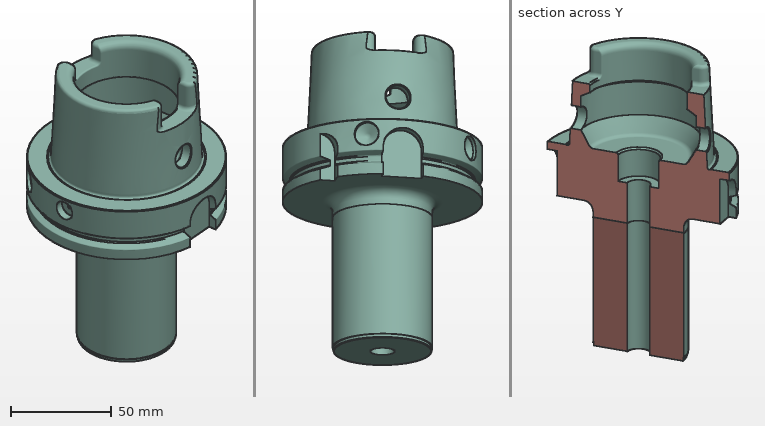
import cadquery as cq
import math


total_length = 156.9
flange_radius = 100.0 / 2
flange_thickness = 28.9
flange_top_chamfer = 0.5

taper_height = 50.2
taper_base_height = 2.0
taper_base_radius = 37.8
taper_slope = 1 / 20
rim_outer_round = 1.9

face_groove_outer = 39.9
face_groove_depth = 0.3
face_groove_fillet = 1.3

groove_center_z = -19.8
groove_mouth_half = 3.3
groove_root_half = 1.5
groove_root_radius = 46.1
groove_mouth_round = 0.6
groove_root_round = 0.8

shank_radius = 50.0 / 2
collar_bottom_z = -37.2
collar_fillet = 5.0
shank_tip_length = 1.9
shank_tip_step = 0.5
shank_tip_chamfer = 0.3

bore_radius = 26.5
bore_mouth_round = 3.6
bore_end_z = 30.3
chamber_radius = 31.5
chamber_end_z = 9.5
chamber_floor_radius = 24.6
clamping_angle = 30.0
chamber_floor_slope = 60.0
chamber_floor_round = 2.7

thread_radius = 11.0
thread_chamfer = 1.0
thread_end_z = -15.0
passage_radius = 6.1

drive_slot_half_width = 10.0
drive_slot_corner = 3.8
drive_slot_shoulder = 32.3
drive_slot_floor_round = 2.0
drive_slot_edge_round = 0.8
left_slot_depth = 10.4
right_slot_depth = 15.2

cross_hole_radius = 6.1
cross_hole_z = 15.4
cross_hole_chamfer = 0.5

keyway_half_width = 10.2
keyway_top_z = -4.5
keyway_floor = 44.7

notch_radius = 9.1
notch_edge_y = 31.4
notch_floor = 31.5

gripper_hole_angles = (158.5, 230.0)
gripper_hole_radius = 6.1
gripper_hole_z = -7.7
gripper_hole_depth = 2.0
drill_point_angle = 118.0

chip_pocket_radius = 5.0
chip_pocket_z = -6.7
chip_pocket_depth = 4.5
chip_center_radius = 0.6
chip_center_chamfer = 0.6
chip_center_depth = 2.0

flange_bottom_z = -flange_thickness
shank_bottom_z = taper_height - total_length
rim_radius = taper_base_radius - taper_slope * (taper_height - taper_base_height)
clamping_cone_end_z = bore_end_z - (chamber_radius - bore_radius) * math.tan(math.radians(clamping_angle))
chamber_corner_radius = chamber_floor_radius + chamber_floor_round * math.tan(
    math.radians(chamber_floor_slope / 2)
)
chamber_floor_z = chamber_end_z - (chamber_radius - chamber_corner_radius) * math.tan(
    math.radians(chamber_floor_slope)
)
outside = flange_radius + 1.5
band_margin = 0.2


def turned(cutter, angle):
    """Cutter made on the +X side, turned about the tool axis."""
    return cutter.rotate((0, 0, 0), (0, 0, 1), angle)


def level_band(bottom_z, top_z):
    """Selector for what lies between two heights."""
    return cq.selectors.BoxSelector((-outside, -outside, bottom_z), (outside, outside, top_z))


def make_blank():
    """Outside of the holder as one turned body."""
    profile = (
        cq.Workplane("XZ")
        .moveTo(0, taper_height)
        .lineTo(rim_radius, taper_height)
        .lineTo(taper_base_radius, taper_base_height)
        .lineTo(taper_base_radius, face_groove_fillet - face_groove_depth)
        .radiusArc((taper_base_radius + face_groove_fillet, -face_groove_depth), -face_groove_fillet)
        .lineTo(face_groove_outer, 0)
        .lineTo(flange_radius - flange_top_chamfer, 0)
        .lineTo(flange_radius, -flange_top_chamfer)
        .lineTo(flange_radius, flange_bottom_z)
        .lineTo(shank_radius + collar_fillet, flange_bottom_z)
        .radiusArc((shank_radius, flange_bottom_z - collar_fillet), -collar_fillet)
        .lineTo(shank_radius, collar_bottom_z)
        .lineTo(0, collar_bottom_z)
        .close()
    )
    return profile.revolve(360, (0, 0, 0), (0, 1, 0))


def cut_gripper_groove(body):
    """Turn a ring with sloping flanks out of the flange and round its edges."""
    flank_slope = (groove_mouth_half - groove_root_half) / (flange_radius - groove_root_radius)
    outer_half = groove_root_half + flank_slope * (outside - groove_root_radius)
    profile = (
        cq.Workplane("XZ")
        .moveTo(groove_root_radius, groove_center_z + groove_root_half)
        .lineTo(outside, groove_center_z + outer_half)
        .lineTo(outside, groove_center_z - outer_half)
        .lineTo(groove_root_radius, groove_center_z - groove_root_half)
        .close()
    )
    body = body.cut(profile.revolve(360, (0, 0, 0), (0, 1, 0)))
    for half_width, radius in (
        (groove_mouth_half, groove_mouth_round),
        (groove_root_half, groove_root_round),
    ):
        for z in (groove_center_z - half_width, groove_center_z + half_width):
            body = body.edges(level_band(z - band_margin, z + band_margin)).fillet(radius)
    return body


def make_clamping_bore():
    """Rounded mouth, straight bore and the wider chamber behind it."""
    profile = (
        cq.Workplane("XZ")
        .moveTo(0, taper_height)
        .lineTo(bore_radius + bore_mouth_round, taper_height)
        .radiusArc((bore_radius, taper_height - bore_mouth_round), -bore_mouth_round)
        .lineTo(bore_radius, bore_end_z)
        .lineTo(chamber_radius, clamping_cone_end_z)
        .lineTo(chamber_radius, chamber_end_z)
        .lineTo(chamber_corner_radius, chamber_floor_z)
        .lineTo(0, chamber_floor_z)
        .close()
    )
    bore = profile.revolve(360, (0, 0, 0), (0, 1, 0))
    return bore.faces("<Z").edges().fillet(chamber_floor_round)


def make_coolant_passage():
    """Chamfered thread hole below the chamber, and the passage along the whole axis."""
    mouth_radius = thread_radius + thread_chamfer
    profile = (
        cq.Workplane("XZ")
        .moveTo(0, chamber_floor_z)
        .lineTo(mouth_radius, chamber_floor_z)
        .lineTo(thread_radius, chamber_floor_z - thread_chamfer)
        .lineTo(thread_radius, thread_end_z)
        .lineTo(passage_radius, thread_end_z)
        .lineTo(passage_radius, shank_bottom_z)
        .lineTo(0, shank_bottom_z)
        .close()
    )
    return profile.revolve(360, (0, 0, 0), (0, 1, 0))


def make_drive_slot(depth):
    """Cutter on the +X side that widens in two rounded corners at the outside of the rim."""
    corner_start_x = drive_slot_shoulder - drive_slot_corner
    corner_end_y = drive_slot_half_width + drive_slot_corner
    cutter = (
        cq.Workplane("XY")
        .workplane(offset=taper_height - depth)
        .moveTo(0, -drive_slot_half_width)
        .lineTo(corner_start_x, -drive_slot_half_width)
        .radiusArc((drive_slot_shoulder, -corner_end_y), drive_slot_corner)
        .lineTo(drive_slot_shoulder, -rim_radius)
        .lineTo(outside, -rim_radius)
        .lineTo(outside, rim_radius)
        .lineTo(drive_slot_shoulder, rim_radius)
        .lineTo(drive_slot_shoulder, corner_end_y)
        .radiusArc((corner_start_x, drive_slot_half_width), drive_slot_corner)
        .lineTo(0, drive_slot_half_width)
        .close()
        .extrude(depth)
    )
    return cutter.faces("<Z").edges().fillet(drive_slot_floor_round)


def cut_drive_slots(body):
    """Cut one slot of each depth into the rim and round the rim ends."""
    for depth, angle in ((right_slot_depth, 0), (left_slot_depth, 180)):
        body = body.cut(turned(make_drive_slot(depth), angle))
    return body.faces(">Z").edges().fillet(rim_outer_round)


def round_slot_inner_edges(body):
    """Round the edges where the drive slots open into the bore."""
    inner_edges = body.edges("|Z").edges(level_band(taper_height - right_slot_depth, taper_height))
    return inner_edges.fillet(drive_slot_edge_round)


def cut_cross_hole(body):
    """Drill through both taper walls along X and chamfer the outer rims of the hole."""
    drill = (
        cq.Workplane("YZ")
        .workplane(offset=-outside)
        .center(0, cross_hole_z)
        .circle(cross_hole_radius)
        .extrude(2 * outside)
    )
    body = body.cut(drill)
    wall_middle = (chamber_radius + taper_base_radius) / 2
    hole_band = level_band(cross_hole_z - band_margin, cross_hole_z + band_margin)
    hole_edges = body.edges(hole_band).edges("not |X")
    outer_rims = hole_edges.filter(lambda edge: abs(edge.Center().x) > wall_middle)
    return outer_rims.chamfer(cross_hole_chamfer)


def make_keyway():
    """Round-topped cutter on the +X side that runs out through the flange bottom."""
    arch_z = keyway_top_z - keyway_half_width
    return (
        cq.Workplane("YZ")
        .workplane(offset=keyway_floor)
        .moveTo(-keyway_half_width, flange_bottom_z)
        .lineTo(-keyway_half_width, arch_z)
        .threePointArc((0, keyway_top_z), (keyway_half_width, arch_z))
        .lineTo(keyway_half_width, flange_bottom_z)
        .close()
        .extrude(outside - keyway_floor)
    )


def make_notch():
    """Round-topped cutter on the -X side whose inner edge lies at notch_edge_y."""
    center_y = notch_edge_y + notch_radius
    far_y = center_y + notch_radius
    arch_z = keyway_top_z - notch_radius
    return (
        cq.Workplane("YZ")
        .workplane(offset=-outside)
        .moveTo(notch_edge_y, flange_bottom_z)
        .lineTo(notch_edge_y, arch_z)
        .threePointArc((center_y, keyway_top_z), (far_y, arch_z))
        .lineTo(far_y, flange_bottom_z)
        .close()
        .extrude(outside - notch_floor)
    )


def make_drilled_hole(radius, surface_radius, depth, z):
    """Drill along X from +X, with a straight part below surface_radius and a conical point."""
    shoulder_x = surface_radius - depth
    point_length = radius / math.tan(math.radians(drill_point_angle / 2))
    profile = (
        cq.Workplane("XZ")
        .moveTo(outside, z)
        .lineTo(outside, z + radius)
        .lineTo(shoulder_x, z + radius)
        .lineTo(shoulder_x - point_length, z)
        .close()
    )
    return profile.revolve(360, (0, z, 0), (1, z, 0))


def make_chip_pocket():
    """Flat-bottomed pocket on the +X side with a small chamfered hole in its floor."""
    floor_x = flange_radius - chip_pocket_depth
    pocket = (
        cq.Workplane("YZ")
        .workplane(offset=floor_x)
        .center(0, chip_pocket_z)
        .circle(chip_pocket_radius)
        .extrude(outside - floor_x)
    )
    center_hole = make_drilled_hole(chip_center_radius, floor_x, chip_center_depth, chip_pocket_z)
    chamfer_cone = cq.Workplane(
        cq.Solid.makeCone(
            chip_center_radius,
            chip_center_radius + chip_center_chamfer,
            chip_center_chamfer,
            cq.Vector(floor_x - chip_center_chamfer, 0, chip_pocket_z),
            cq.Vector(1, 0, 0),
        )
    )
    return pocket.union(center_hole).union(chamfer_cone)


def make_holder():
    """Taper, flange and collar with all their cuts."""
    body = cut_gripper_groove(make_blank())
    body = cut_drive_slots(body)
    body = body.cut(make_clamping_bore()).cut(make_coolant_passage())
    body = round_slot_inner_edges(body)
    body = cut_cross_hole(body)
    for angle in (0, 180):
        body = body.cut(turned(make_keyway(), angle))
    body = body.cut(make_notch())
    gripper_hole = make_drilled_hole(
        gripper_hole_radius, flange_radius, gripper_hole_depth, gripper_hole_z
    )
    for angle in gripper_hole_angles:
        body = body.cut(turned(gripper_hole, angle))
    return body.cut(turned(make_chip_pocket(), 270))


def make_shank():
    """Plain bar with a reduced, chamfered tip and the coolant passage."""
    tip_radius = shank_radius - shank_tip_step
    profile = (
        cq.Workplane("XZ")
        .moveTo(passage_radius, collar_bottom_z)
        .lineTo(shank_radius, collar_bottom_z)
        .lineTo(shank_radius, shank_bottom_z + shank_tip_length)
        .lineTo(tip_radius, shank_bottom_z + shank_tip_length)
        .lineTo(tip_radius, shank_bottom_z + shank_tip_chamfer)
        .lineTo(tip_radius - shank_tip_chamfer, shank_bottom_z)
        .lineTo(passage_radius, shank_bottom_z)
        .close()
    )
    return profile.revolve(360, (0, 0, 0), (0, 1, 0))


holder = make_holder()
shank = make_shank()
result = cq.Compound.makeCompound([holder.val(), shank.val()])